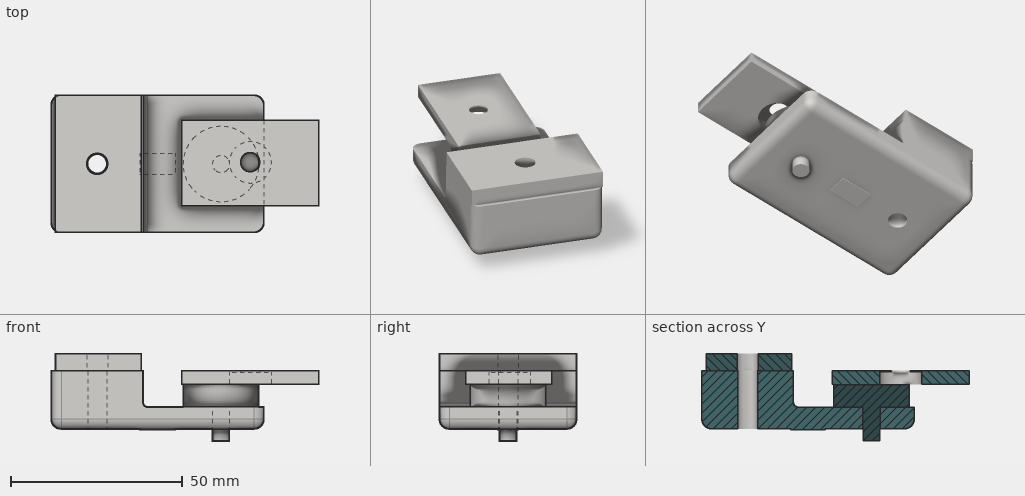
import cadquery as cq

housing_length = 62.0
housing_width = 40.0
housing_height = 17.0
block_length = 26.8
floor_thickness = 6.5
edge_radius = 3.0
step_fillet_radius = 1.2
label_length = 10.3
label_width = 6.1
label_height = 0.2

pad_length = 25.0
pad_width = housing_width
pad_thickness = 5.0
pad_start = 1.25
pad_hole_diameter = 6.1
housing_hole_diameter = 5.6
pad_hole_x = block_length / 2

spindle_x = 49.45
disc_diameter = 22.1
shaft_diameter = 5.0
shaft_projection = 3.5

arm_length = 40.0
arm_width = 25.0
arm_thickness = 4.0
arm_end = 78.0
arm_y = 0.2
arm_hole_diameter = 5.5
arm_hole_y = 0.5
arm_recess_diameter = 12.2
arm_lip_thickness = 0.5
arm_x = arm_end - arm_length / 2
arm_base = housing_height - arm_thickness


def cylinder(x, y, base, top, diameter):
    """Upright cylinder between two heights."""
    return cq.Workplane("XY", origin=(x, y, base)).circle(diameter / 2).extrude(top - base)


def plate(x, y, base, length, width, thickness):
    """Flat rectangular plate centred on (x, y)."""
    return cq.Workplane("XY", origin=(x, y, base)).rect(length, width).extrude(thickness)


def make_housing():
    """Rounded block and floor, with holes for the pad fixing and the shaft."""
    body = plate(housing_length / 2, 0, 0, housing_length, housing_width, housing_height)
    body = body.edges("|Z").fillet(edge_radius)
    body = body.faces("<Z").edges().fillet(edge_radius)

    step_length = housing_length - block_length
    step = plate(
        block_length + step_length / 2, 0, floor_thickness,
        step_length, housing_width, housing_height - floor_thickness,
    )
    step = step.edges("|Y and <X and <Z").fillet(step_fillet_radius)
    body = body.cut(step)

    label = plate(housing_length / 2, 0, -label_height, label_length, label_width, label_height)
    body = body.union(label)

    body = body.cut(cylinder(pad_hole_x, 0, 0, housing_height, housing_hole_diameter))
    return body.cut(cylinder(spindle_x, 0, 0, floor_thickness, shaft_diameter))


def make_pad():
    """Pad with one through hole."""
    pad_x = pad_start + pad_length / 2
    pad_top = housing_height + pad_thickness
    body = plate(pad_x, 0, housing_height, pad_length, pad_width, pad_thickness)
    return body.cut(cylinder(pad_hole_x, 0, housing_height, pad_top, pad_hole_diameter))


def make_spindle():
    """Disc and shaft in one piece."""
    disc = cylinder(spindle_x, 0, floor_thickness, arm_base, disc_diameter)
    shaft = cylinder(spindle_x, 0, -shaft_projection, floor_thickness, shaft_diameter)
    return disc.union(shaft)


def make_arm():
    """Arm with a through hole that is recessed from below."""
    body = plate(arm_x, arm_y, arm_base, arm_length, arm_width, arm_thickness)
    body = body.cut(cylinder(arm_x, arm_hole_y, arm_base, housing_height, arm_hole_diameter))
    recess_top = housing_height - arm_lip_thickness
    return body.cut(cylinder(arm_x, arm_hole_y, arm_base, recess_top, arm_recess_diameter))


housing = make_housing()
pad = make_pad()
spindle = make_spindle()
arm = make_arm()

result = cq.Compound.makeCompound([housing.val(), pad.val(), spindle.val(), arm.val()])